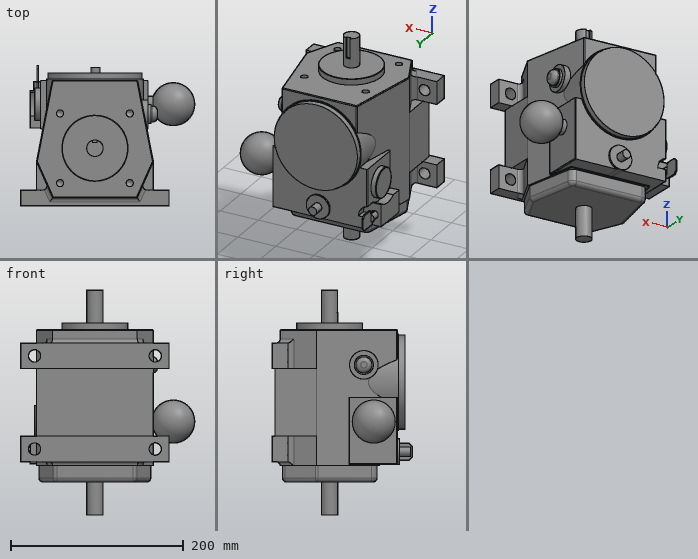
import cadquery as cq


shaft_length = 260.4
shaft_diameter = 19.0
keyway_width = 5.2
keyway_depth = 2.9
keyway_length = 26.0

side_x = 67.7
front_x = 49.0
back_x = 49.5
back_y = 78.5
waist_y = -15.4
front_y = -57.3
housing_top = 84.5
housing_bottom = -71.3
edge_chamfer = 1.0
rim_back_y = 57.5
rim_bottom = -73.0

cover_inset = 2.5
cover_bottom = -92.0
cover_fillet = 5.0
cover_back_fillet = 7.8

flange_diameter = 76.5
flange_top = 92.5
flange_chamfer = 0.5
bolt_pitch = 80.7
bolt_hole_diameter = 8.3
bolt_hole_depth = 13.0
bolt_tip_depth = 2.3

foot_length = 171.8
foot_bottom_y = -66.6
foot_thickness = 18.2
foot_width = 29.7
foot_pitch = 107.8
foot_center_z = 0.3
foot_hole_pitch = 139.5
foot_hole_diameter = 14.0
foot_fillet = 5.0
block_front_y = -63.5

port_z = 23.7
port_boss_diameter = 112.0
port_boss_y = 80.0
port_disc_diameter = 109.3
port_disc_y = 87.2

plug_x = 0.8
plug_z = -56.8
plug_pad_diameter = 30.2
plug_pad_y = 81.0
plug_diameter = 10.7
plug_y = 93.5

pad_near_y = 22.0
pad_bottom = -71.5
pad_top = 5.7
left_pad_x = -63.3
right_pad_x = 61.7
control_y = 51.0
control_z = -21.9

dial_diameter = 37.8
dial_x = -70.0
dial_chamfer = 0.8
step_x = -75.0
step_near_y = 23.2
step_far_y = 66.6
step_bottom = -70.8
step_top = -42.2
dial_clearance_radius = 24.5

pin_x = -66.0
pin_z = -56.8
pin_diameter = 10.0
pin_end_y = 77.0
relief_radius = step_top - pin_z
tab_thickness = 1.8
tab_half_height = 10.0
tab_tip_y = 95.8
tab_chamfer = 4.0
tab_shoulder_y = 78.0
tab_root_y = 65.0
tab_neck_y = 76.0

ball_diameter = 50.0
ball_x = 90.5
ball_stem_diameter = 18.7

button_y = 39.5
button_z = 43.7
button_pad_diameter = 33.0
button_collar_diameter = 22.0
button_collar_x = 64.8
button_diameter = 18.7
button_x = 72.5
button_fillet = 5.7


def box(x_range, y_range, z_range):
    """Box spanning the given (low, high) ranges."""
    (x0, x1), (y0, y1), (z0, z1) = x_range, y_range, z_range
    return cq.Workplane("XY").box(x1 - x0, y1 - y0, z1 - z0, centered=False).translate((x0, y0, z0))


def rod_x(diameter, y, z, x0, x1):
    """Cylinder along X from x0 to x1."""
    return cq.Workplane("YZ", origin=(x0, y, z)).circle(diameter / 2).extrude(x1 - x0)


def rod_y(diameter, x, z, y0, y1):
    """Cylinder along Y from y0 to y1."""
    return cq.Workplane("XZ", origin=(x, y0, z)).circle(diameter / 2).extrude(y0 - y1)


def rod_z(diameter, z0, z1):
    """Cylinder about the shaft axis from z0 to z1."""
    return cq.Workplane("XY", origin=(0, 0, z0)).circle(diameter / 2).extrude(z1 - z0)


def outline_x(y):
    """Half-width of the tapered back part of the housing at the given y."""
    return side_x + (back_x - side_x) * (y - waist_y) / (back_y - waist_y)


def housing_sketch(top_y):
    """Six-sided housing outline, cut off at top_y."""
    right = [(front_x, front_y), (side_x, waist_y), (outline_x(top_y), top_y)]
    left = [(-x, y) for x, y in reversed(right)]
    return cq.Workplane("XY").polyline(right + left).close()


def make_housing():
    """Housing with its feet; the fillets around the feet are trimmed flush at the bottom rim."""
    upper = (
        housing_sketch(back_y).extrude(housing_top - housing_bottom)
        .translate((0, 0, housing_bottom))
        .faces(">Z or >Y").chamfer(edge_chamfer)
    )
    fillet_room = 2 * foot_fillet
    lower_z = rim_bottom - fillet_room
    lower = housing_sketch(rim_back_y).extrude(housing_bottom - lower_z).translate((0, 0, lower_z))
    body = upper.union(lower)

    inner_half = (foot_pitch - foot_width) / 2
    outer_half = (foot_pitch + foot_width) / 2
    foot_back_y = foot_bottom_y + foot_thickness
    body = body.union(box(
        (-side_x, side_x), (block_front_y, waist_y),
        (foot_center_z - inner_half, foot_center_z + inner_half),
    ))
    for low, high in ((inner_half, outer_half), (-outer_half, -inner_half)):
        body = body.union(box(
            (-foot_length / 2, foot_length / 2), (foot_bottom_y, foot_back_y),
            (foot_center_z + low, foot_center_z + high),
        ))

    slope_x = front_x + (side_x - front_x) * (foot_back_y - front_y) / (waist_y - front_y)
    margin = 0.3
    for side in (1, -1):
        outer_z = foot_center_z + side * outer_half
        inner_z = foot_center_z + side * inner_half
        low_z, high_z = sorted((inner_z, outer_z))
        corner_edges = cq.selectors.BoxSelector(
            (-slope_x - margin, front_y - margin, low_z - margin),
            (slope_x + margin, foot_back_y + margin, high_z + margin),
            boundingbox=True,
        )
        inner_edges = cq.selectors.BoxSelector(
            (-foot_length, foot_bottom_y - margin, inner_z - margin),
            (foot_length, waist_y + margin, inner_z + margin),
            boundingbox=True,
        )
        body = body.edges(corner_edges - inner_edges).fillet(foot_fillet)

    trim = box((-side_x, side_x), (front_y - foot_fillet, rim_back_y), (lower_z, rim_bottom))
    return body.cut(trim)


def make_cover():
    """Rounded cover below the housing, with larger rounds on its two back corners."""
    cover = (
        housing_sketch(rim_back_y).offset2D(-cover_inset).extrude(rim_bottom - cover_bottom)
        .translate((0, 0, cover_bottom))
    )
    cover = cover.edges("|Z").edges("not >Y").fillet(cover_fillet)
    cover = cover.faces(">Y").edges("|Z").fillet(cover_back_fillet)
    return cover.faces("<Z").edges().fillet(cover_fillet)


def make_shaft():
    """Through shaft with a keyway at its upper end."""
    half = shaft_length / 2
    shaft = rod_z(shaft_diameter, -half, half)
    radius = shaft_diameter / 2
    keyway = box(
        (-keyway_width / 2, keyway_width / 2), (radius - keyway_depth, radius),
        (half - keyway_length, half),
    )
    return shaft.cut(keyway)


def make_port():
    boss = rod_y(port_boss_diameter, 0, port_z, 0, port_boss_y)
    return boss.union(rod_y(port_disc_diameter, 0, port_z, 0, port_disc_y))


def make_plug():
    pad = rod_y(plug_pad_diameter, plug_x, plug_z, 0, plug_pad_y)
    return pad.union(rod_y(plug_diameter, plug_x, plug_z, 0, plug_y))


def make_left_control():
    """Left pad with the dial and the stepped block."""
    pad = box((left_pad_x, 0), (pad_near_y, back_y), (pad_bottom, pad_top))
    pad = pad.faces("<X").edges("not >Z").chamfer(edge_chamfer)
    step = box((step_x, left_pad_x), (step_near_y, step_far_y), (step_bottom, step_top))
    step = step.cut(rod_x(2 * dial_clearance_radius, control_y, control_z, step_x, left_pad_x))
    dial = rod_x(dial_diameter, control_y, control_z, dial_x, 0).faces("<X").chamfer(dial_chamfer)
    return pad.union(step).union(dial)


def make_lever_relief():
    """Half-round recess above the lever pin."""
    relief = rod_y(2 * relief_radius, pin_x, pin_z, step_far_y, back_y)
    upper_half = box(
        (pin_x - relief_radius, pin_x + relief_radius), (step_far_y, back_y),
        (pin_z, pin_z + relief_radius),
    )
    return relief.intersect(upper_half)


def make_lever():
    """Lever pin carrying a thin chamfered tab."""
    pin = rod_y(pin_diameter, pin_x, pin_z, tab_root_y, pin_end_y)
    pin_radius = pin_diameter / 2
    tab_points = [
        (tab_root_y, -pin_radius),
        (tab_shoulder_y, -tab_half_height),
        (tab_tip_y - tab_chamfer, -tab_half_height),
        (tab_tip_y, tab_chamfer - tab_half_height),
        (tab_tip_y, tab_half_height - tab_chamfer),
        (tab_tip_y - tab_chamfer, tab_half_height),
        (tab_shoulder_y, tab_half_height),
        (tab_neck_y, pin_radius),
        (tab_root_y, pin_radius),
    ]
    tab = (
        cq.Workplane("YZ", origin=(pin_x - tab_thickness / 2, 0, pin_z))
        .polyline(tab_points).close().extrude(tab_thickness)
    )
    return pin.union(tab)


def make_right_control():
    """Right pad with the ball knob on its stem."""
    pad = box((0, right_pad_x), (pad_near_y, back_y), (pad_bottom, pad_top))
    pad = pad.faces(">X").edges("not >Z").chamfer(edge_chamfer)
    stem = rod_x(ball_stem_diameter, control_y, control_z, 0, ball_x)
    ball = cq.Workplane("XY").sphere(ball_diameter / 2).translate((ball_x, control_y, control_z))
    return pad.union(stem).union(ball)


def make_button():
    """Round pad, collar and domed button on the right side."""
    pad = rod_x(button_pad_diameter, button_y, button_z, 0, right_pad_x)
    collar = rod_x(button_collar_diameter, button_y, button_z, 0, button_collar_x)
    button = rod_x(button_diameter, button_y, button_z, 0, button_x)
    return pad.union(collar).union(button.faces(">X").edges().fillet(button_fillet))


flange = rod_z(flange_diameter, 0, flange_top).faces(">Z").chamfer(flange_chamfer)

bolt_hole_profile = [
    (0, 0),
    (bolt_hole_diameter / 2, 0),
    (bolt_hole_diameter / 2, -bolt_hole_depth),
    (0, -bolt_hole_depth - bolt_tip_depth),
]
bolt_hole = cq.Workplane("XZ").polyline(bolt_hole_profile).close().revolve(360, (0, 0), (0, 1))
bolt_holes = (
    cq.Workplane("XY", origin=(0, 0, housing_top))
    .rect(bolt_pitch, bolt_pitch, forConstruction=True).vertices()
    .eachpoint(lambda place: bolt_hole.val().moved(place))
)

foot_holes = (
    cq.Workplane("XZ", origin=(0, foot_bottom_y, foot_center_z))
    .rect(foot_hole_pitch, foot_pitch, forConstruction=True).vertices()
    .circle(foot_hole_diameter / 2).extrude(-foot_thickness)
)

result = (
    make_housing()
    .union(make_cover())
    .union(make_port())
    .union(make_plug())
    .union(make_left_control())
    .union(make_right_control())
    .union(make_button())
    .union(flange)
    .union(make_shaft())
    .cut(bolt_holes)
    .cut(foot_holes)
    .cut(make_lever_relief())
    .union(make_lever())
)